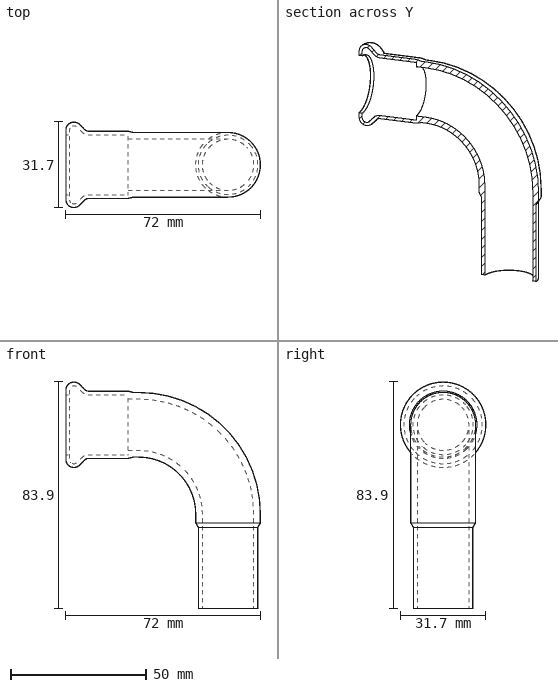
import cadquery as cq
import math


tube_radius = 24.0 / 2
bore_radius = 19.0 / 2
bend_radius = 33.0

mouth_to_axis = 60.0
mouth_x = -mouth_to_axis
socket_radius = 25.0 / 2
wall = 1.4
socket_bore_radius = socket_radius - wall
socket_depth = 23.0
socket_taper_length = 2.0

bead_outer_radius = 15.85
bead_round = 3.0
bead_center_radius = bead_outer_radius - bead_round
bead_slope = math.radians(45)
bead_foot_round = 1.75

spigot_radius = 22.0 / 2
spigot_length = 30.0
axis_to_spigot_end = 68.0
spigot_taper_angle = math.radians(30)
spigot_top_z = spigot_length - axis_to_spigot_end
spigot_taper_length = (tube_radius - spigot_radius) / math.tan(spigot_taper_angle)
spigot_taper_top_z = spigot_top_z + spigot_taper_length


def arc_point(center, radius, angle):
    """Point on a circle, with the angle measured from outward radial toward +X."""
    return (center[0] + radius * math.sin(angle), center[1] + radius * math.cos(angle))


def bead_profile(inset):
    """Half outline from the axis over the bead to the straight socket, moved in by the inset."""
    crown_round = bead_round - inset
    foot_round = bead_foot_round + inset
    straight_radius = socket_radius - inset

    crown_center = (mouth_x + bead_round, bead_center_radius)
    slope_start = arc_point(crown_center, crown_round, bead_slope)
    slope_end_radius = straight_radius + foot_round * (1 - math.cos(bead_slope))
    slope_end_x = slope_start[0] + (slope_start[1] - slope_end_radius) / math.tan(bead_slope)
    foot_center = (slope_end_x + foot_round * math.sin(bead_slope), straight_radius + foot_round)
    foot_middle = arc_point(foot_center, foot_round, math.pi + bead_slope / 2)

    return (
        cq.Workplane("XZ")
        .moveTo(mouth_x + inset, 0)
        .lineTo(mouth_x + inset, bead_center_radius)
        .threePointArc(arc_point(crown_center, crown_round, 0), slope_start)
        .lineTo(slope_end_x, slope_end_radius)
        .threePointArc(foot_middle, (foot_center[0], straight_radius))
    )


def revolve_about_x(profile):
    return profile.close().revolve(360, (0, 0, 0), (1, 0, 0))


def bend(radius):
    """Quarter turn of round bar from the socket axis down to the spigot axis."""
    return (
        cq.Workplane("YZ", origin=(-bend_radius, 0, 0))
        .circle(radius)
        .revolve(90, (0, -bend_radius, 0), (1, -bend_radius, 0))
    )


def rod_along_x(radius, start_x, end_x):
    return cq.Workplane("YZ", origin=(start_x, 0, 0)).circle(radius).extrude(end_x - start_x)


def rod_along_z(radius, start_z, end_z):
    return cq.Workplane("XY", origin=(0, 0, start_z)).circle(radius).extrude(end_z - start_z)


def socket_body():
    taper_start_x = mouth_x + socket_depth
    taper_end_x = taper_start_x + socket_taper_length
    profile = (
        bead_profile(0)
        .lineTo(taper_start_x, socket_radius)
        .lineTo(taper_end_x, tube_radius)
        .lineTo(-bend_radius, tube_radius)
        .lineTo(-bend_radius, 0)
    )
    return revolve_about_x(profile)


def spigot_body():
    return (
        cq.Workplane("XZ")
        .moveTo(0, -bend_radius)
        .lineTo(tube_radius, -bend_radius)
        .lineTo(tube_radius, spigot_taper_top_z)
        .lineTo(spigot_radius, spigot_top_z)
        .lineTo(spigot_radius, -axis_to_spigot_end)
        .lineTo(0, -axis_to_spigot_end)
        .close()
        .revolve(360, (0, 0, 0), (0, 1, 0))
    )


def socket_cavity():
    """Mouth opening, seal groove inside the bead, and bore down to the flat pipe stop."""
    stop_x = mouth_x + socket_depth
    profile = bead_profile(wall).lineTo(stop_x, socket_bore_radius).lineTo(stop_x, 0)
    mouth = rod_along_x(socket_bore_radius, mouth_x, stop_x)
    return revolve_about_x(profile).union(mouth)


def through_bore():
    socket_part = rod_along_x(bore_radius, mouth_x, -bend_radius)
    spigot_part = rod_along_z(bore_radius, -axis_to_spigot_end, -bend_radius)
    return socket_part.union(bend(bore_radius)).union(spigot_part)


body = socket_body().union(bend(tube_radius)).union(spigot_body())
result = body.cut(through_bore()).cut(socket_cavity())